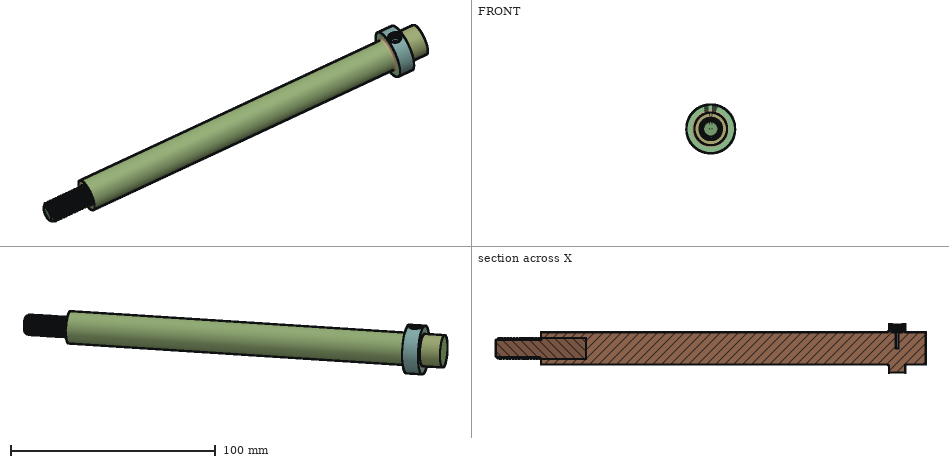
import cadquery as cq

OVERALL_LENGTH = 210.0

ROD_DIAMETER = 16.0
ROD_LENGTH = 188.0

COLLAR_DIAMETER = 24.0
COLLAR_LENGTH = 8.0
COLLAR_REAR_OFFSET = 10.0
COLLAR_FILLET = 1.0

TAP_MAJOR_DIAMETER = 6.0
TAP_MINOR_DIAMETER = 5.0
TAP_MOUTH_DIAMETER = 6.7
TAP_PITCH = 1.0
ORIFICE_DIAMETER = 1.3

STUD_DIAMETER = 10.0
STUD_PROJECTION = OVERALL_LENGTH - ROD_LENGTH
STUD_INSERTION = STUD_PROJECTION
STUD_TIP_CHAMFER = 1.3
STUD_PITCH = 1.5
STUD_ROOT_DIAMETER = 8.5
SOCKET_MOUTH_DIAMETER = 11.0

THREAD_OVERLAP = 0.2
THREAD_START_ANGLE = 40.0
THREAD_BASE_WIDTH = 0.9
THREAD_TIP_WIDTH = 0.25

COLLAR_REAR_Y = ROD_LENGTH - COLLAR_REAR_OFFSET
COLLAR_FRONT_Y = COLLAR_REAR_Y - COLLAR_LENGTH
COLLAR_MIDDLE_Y = COLLAR_FRONT_Y + COLLAR_LENGTH / 2
COLLAR_WALL = (COLLAR_DIAMETER - ROD_DIAMETER) / 2
SOCKET_MOUTH_DEPTH = (SOCKET_MOUTH_DIAMETER - STUD_DIAMETER) / 2

BACKWARD = cq.Vector(0, 1, 0)
DOWN = cq.Vector(0, 0, -1)


def cylinder(diameter, length, start, direction):
    return cq.Workplane(cq.Solid.makeCylinder(diameter / 2, length, start, direction))


def cone(start_diameter, end_diameter, length, start, direction):
    return cq.Workplane(cq.Solid.makeCone(start_diameter / 2, end_diameter / 2, length, start, direction))


def helical_ridge(base_radius, tip_radius, pitch, length):
    """Helical V-shaped ridge around Z, with its wide base and narrow tip at the two given radii."""
    base_half_width = pitch * THREAD_BASE_WIDTH / 2
    tip_half_width = pitch * THREAD_TIP_WIDTH / 2
    helix = cq.Wire.makeHelix(pitch, length, min(base_radius, tip_radius))
    profile = cq.Workplane("XZ").polyline([
        (base_radius, -base_half_width),
        (tip_radius, -tip_half_width),
        (tip_radius, tip_half_width),
        (base_radius, base_half_width),
    ]).close()
    ridge = profile.sweep(cq.Workplane(helix), isFrenet=True)
    return ridge.rotate((0, 0, 0), (0, 0, 1), THREAD_START_ANGLE)


def make_flanged_rod():
    """Plain rod with the collar around it and a fillet where the rod meets the collar's front face."""
    rod = cylinder(ROD_DIAMETER, ROD_LENGTH, cq.Vector(0, 0, 0), BACKWARD)
    collar = cylinder(COLLAR_DIAMETER, COLLAR_LENGTH, cq.Vector(0, COLLAR_FRONT_Y, 0), BACKWARD)
    flanged_rod = rod.union(collar)
    inner_corner = cq.selectors.BoxSelector(
        (-ROD_DIAMETER, COLLAR_FRONT_Y - COLLAR_FILLET, -ROD_DIAMETER),
        (ROD_DIAMETER, COLLAR_FRONT_Y + COLLAR_FILLET, ROD_DIAMETER),
    )
    return flanged_rod.edges(inner_corner).edges(cq.selectors.RadiusNthSelector(0)).fillet(COLLAR_FILLET)


def make_tap_drill():
    """Countersunk hole through the collar wall, whose floor is the round surface of the rod."""
    mouth = cq.Vector(0, COLLAR_MIDDLE_Y, COLLAR_DIAMETER / 2)
    mouth_depth = (TAP_MOUTH_DIAMETER - TAP_MINOR_DIAMETER) / 2
    bore = cylinder(TAP_MINOR_DIAMETER, COLLAR_DIAMETER / 2, mouth, DOWN)
    countersink = cone(TAP_MOUTH_DIAMETER, TAP_MINOR_DIAMETER, mouth_depth, mouth, DOWN)
    rod_core = cylinder(ROD_DIAMETER, COLLAR_LENGTH, cq.Vector(0, COLLAR_FRONT_Y, 0), BACKWARD)
    return bore.union(countersink).cut(rod_core)


def make_tap_thread():
    """Helical groove in the wall of the tapped hole, from just above its floor to beyond its mouth."""
    base_radius = TAP_MINOR_DIAMETER / 2 - THREAD_OVERLAP
    thread = helical_ridge(base_radius, TAP_MAJOR_DIAMETER / 2, TAP_PITCH, COLLAR_WALL)
    return thread.translate((0, COLLAR_MIDDLE_Y, ROD_DIAMETER / 2 + TAP_PITCH / 2))


def make_orifice():
    """Small hole from the floor of the tapped hole down to the axis of the rod."""
    return cylinder(ORIFICE_DIAMETER, ROD_DIAMETER / 2, cq.Vector(0, COLLAR_MIDDLE_Y, ROD_DIAMETER / 2), DOWN)


def make_socket():
    """Blind socket for the stud, with a 45 degree countersink at its mouth."""
    mouth = cq.Vector(0, 0, 0)
    bore = cylinder(STUD_DIAMETER, STUD_INSERTION, mouth, BACKWARD)
    return bore.union(cone(SOCKET_MOUTH_DIAMETER, STUD_DIAMETER, SOCKET_MOUTH_DEPTH, mouth, BACKWARD))


def make_rod():
    tapped_rod = make_flanged_rod().cut(make_tap_drill()).cut(make_tap_thread())
    return tapped_rod.cut(make_orifice()).cut(make_socket())


def make_stud():
    """Stud with a helical thread from its tip to the mouth of the socket, plain inside the socket."""
    stud = cq.Workplane("XY").circle(STUD_DIAMETER / 2).extrude(STUD_PROJECTION + STUD_INSERTION)
    stud = stud.faces("<Z").edges().chamfer(STUD_TIP_CHAMFER)
    base_radius = STUD_DIAMETER / 2 + THREAD_OVERLAP
    groove_length = STUD_PITCH + STUD_PROJECTION + SOCKET_MOUTH_DEPTH
    groove = helical_ridge(base_radius, STUD_ROOT_DIAMETER / 2, STUD_PITCH, groove_length)
    groove = groove.translate((0, 0, -STUD_PITCH))
    threaded_stud = stud.cut(groove)
    return threaded_stud.rotate((0, 0, 0), (1, 0, 0), -90).translate((0, -STUD_PROJECTION, 0))


rod = make_rod()
stud = make_stud()
result = cq.Compound.makeCompound([rod.val(), stud.val()])